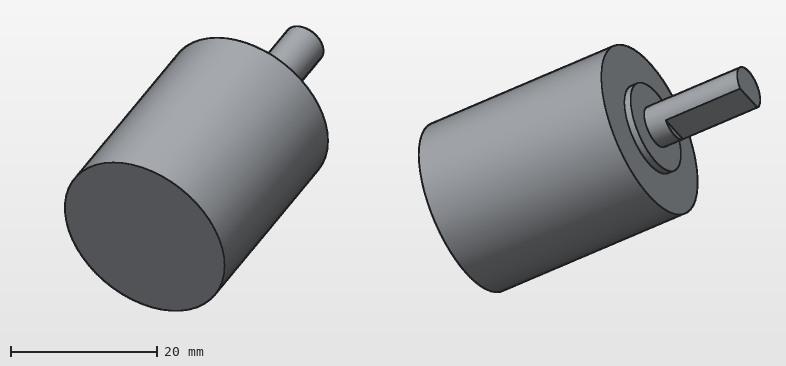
import cadquery as cq

total_length = 45.5
body_diameter = 25.0
boss_diameter = 13.0
boss_length = 1.0
shaft_diameter = 6.0
shaft_length = 15.0
flat_length = 12.0
flat_depth = 1.0

body_length = total_length - boss_length - shaft_length
boss_end = body_length + boss_length
flat_start = total_length - flat_length


def cylinder_along_y(diameter, start, end):
    """Solid cylinder on the Y axis between two Y positions."""
    plane = cq.Workplane("XZ", origin=(0, start, 0))
    return plane.circle(diameter / 2).extrude(start - end)


def shaft_with_flat():
    """Output shaft with a D-flat on its -Z side, open at the free end."""
    shaft = cylinder_along_y(shaft_diameter, boss_end, total_length)
    flat_z = flat_depth - shaft_diameter / 2
    cutter = (
        cq.Workplane("XY", origin=(0, flat_start, flat_z))
        .box(shaft_diameter, flat_length, shaft_diameter, centered=(True, False, False))
        .translate((0, 0, -shaft_diameter))
    )
    return shaft.cut(cutter)


body = cylinder_along_y(body_diameter, 0, body_length)
boss = cylinder_along_y(boss_diameter, body_length, boss_end)
result = body.union(boss).union(shaft_with_flat())